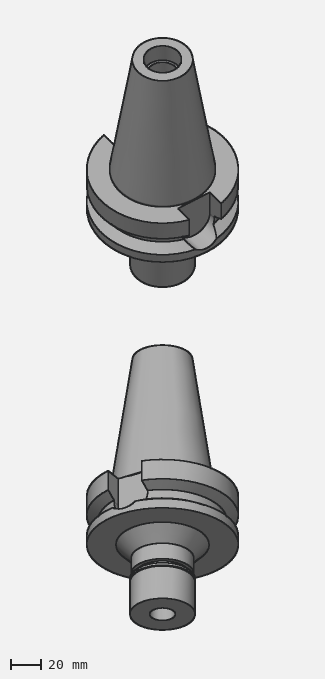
import cadquery as cq

TOTAL_HEIGHT = 191.8
TAPER_BOTTOM = 90.0
FLANGE_TOP = 88.8
GROOVE_TOP = 74.2
GROOVE_FLOOR_TOP = 70.2
GROOVE_FLOOR_BOTTOM = 63.9
GROOVE_BOTTOM = 59.3
FLANGE_BOTTOM = 52.4
CONE_BOTTOM = 42.0
NECK_BOTTOM = 30.3
NUT_TOP = 26.9
NUT_SEAM = 24.7

TAPER_TOP_RADIUS = 20.0
TAPER_BASE_RADIUS = 35.0
FLANGE_RADIUS = 100.0 / 2
GROOVE_RADIUS = 42.5
CONE_TOP_RADIUS = 30.7
NECK_RADIUS = 20.7
SPIGOT_RADIUS = 17.8
NUT_RADIUS = 21.5

NUT_SEAM_WIDTH = 0.5
NUT_SEAM_DEPTH = 0.2

THROUGH_RADIUS = 8.5
STEP_RADIUS = 10.5
BORE_RADIUS = 12.5
BORE_DEPTH = 13.5
STEP_DEPTH = 42.2

SLOT_WIDTH = 25.7
SLOT_FLOOR = 35.5
SLOT_BOTTOM = 56.0


def revolve_profile(points):
    """Turn a closed (radius, height) outline about the Z axis."""
    return cq.Workplane("XZ").polyline(points).close().revolve(360, (0, 0, 0), (0, 1, 0))


def make_bore():
    """Through hole with two wider steps at the small end of the taper."""
    step_bottom = TOTAL_HEIGHT - STEP_DEPTH
    bore_bottom = TOTAL_HEIGHT - BORE_DEPTH
    return revolve_profile([
        (0, 0),
        (THROUGH_RADIUS, 0),
        (THROUGH_RADIUS, step_bottom),
        (STEP_RADIUS, step_bottom),
        (STEP_RADIUS, bore_bottom),
        (BORE_RADIUS, bore_bottom),
        (BORE_RADIUS, TOTAL_HEIGHT),
        (0, TOTAL_HEIGHT),
    ])


def make_drive_slot(side):
    """Cutter for one round-ended slot; side is -1 or +1 along X."""
    end_radius = SLOT_WIDTH / 2
    end_center = SLOT_BOTTOM + end_radius
    return (
        cq.Workplane("YZ", origin=(side * SLOT_FLOOR, 0, 0))
        .moveTo(-end_radius, FLANGE_TOP)
        .lineTo(-end_radius, end_center)
        .threePointArc((0, SLOT_BOTTOM), (end_radius, end_center))
        .lineTo(end_radius, FLANGE_TOP)
        .close()
        .extrude(side * (FLANGE_RADIUS - SLOT_FLOOR))
    )


def make_holder():
    """Taper, grooved flange, cone and neck, ending on the top face of the nut."""
    holder = revolve_profile([
        (0, TOTAL_HEIGHT),
        (TAPER_TOP_RADIUS, TOTAL_HEIGHT),
        (TAPER_BASE_RADIUS, TAPER_BOTTOM),
        (TAPER_BASE_RADIUS, FLANGE_TOP),
        (FLANGE_RADIUS, FLANGE_TOP),
        (FLANGE_RADIUS, GROOVE_TOP),
        (GROOVE_RADIUS, GROOVE_FLOOR_TOP),
        (GROOVE_RADIUS, GROOVE_FLOOR_BOTTOM),
        (FLANGE_RADIUS, GROOVE_BOTTOM),
        (FLANGE_RADIUS, FLANGE_BOTTOM),
        (CONE_TOP_RADIUS, FLANGE_BOTTOM),
        (NECK_RADIUS, CONE_BOTTOM),
        (NECK_RADIUS, NECK_BOTTOM),
        (SPIGOT_RADIUS, NECK_BOTTOM),
        (SPIGOT_RADIUS, NUT_TOP),
        (0, NUT_TOP),
    ])
    for side in (-1, 1):
        holder = holder.cut(make_drive_slot(side))
    return holder.cut(make_bore())


def make_nut():
    """Clamping nut below the holder, with a shallow groove near its top."""
    seam_radius = NUT_RADIUS - NUT_SEAM_DEPTH
    seam_top = NUT_SEAM + NUT_SEAM_WIDTH / 2
    seam_bottom = NUT_SEAM - NUT_SEAM_WIDTH / 2
    nut = revolve_profile([
        (0, 0),
        (NUT_RADIUS, 0),
        (NUT_RADIUS, seam_bottom),
        (seam_radius, seam_bottom),
        (seam_radius, seam_top),
        (NUT_RADIUS, seam_top),
        (NUT_RADIUS, NUT_TOP),
        (0, NUT_TOP),
    ])
    return nut.cut(make_bore())


holder = make_holder()
nut = make_nut()

result = cq.Compound.makeCompound([holder.val(), nut.val()])